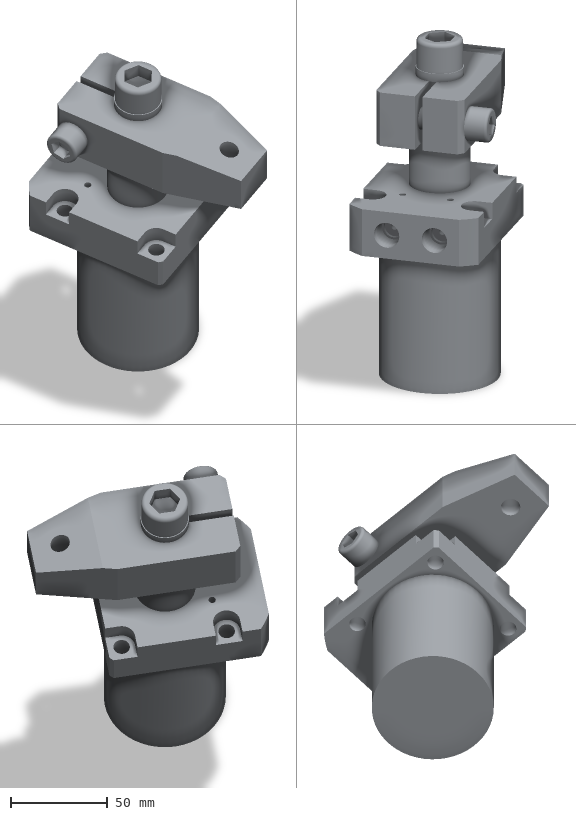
import cadquery as cq
import math

barrel_height = 79.0
flange_thickness = 25.7
rod_exposed_length = 30.5
arm_height = 29.5
washer_thickness = 4.5
total_height = 185.1
flange_top = barrel_height + flange_thickness
arm_bottom = flange_top + rod_exposed_length
arm_top = arm_bottom + arm_height
washer_top = arm_top + washer_thickness
head_height = total_height - washer_top

barrel_radius = 63.1 / 2

flange_back = 50.0
flange_front = 35.0
flange_half_width = 35.0
back_corner_radius = 56.5
front_corner_radius = 48.1

mount_offset = 27.5
mount_hole_radius = 4.3
mount_seat_radius = 7.0
mount_seat_depth = 8.9

port_offset = 13.0
port_height = barrel_height + flange_thickness / 2
port_mouth_radius = 6.8
port_throat_radius = 6.5
port_bottom_radius = 5.4
port_depth = 12.0
port_drill_extra = 1.9
duct_radius = 1.9
duct_distance = 22.5

rod_radius = 32.0 / 2
rod_top_radius = 14.3

arm_back = 36.0
arm_tip = 70.0
arm_half_width = 48.0 / 2
arm_back_chamfer = 3.0
taper_angle = 15.0
side_taper_start = 29.2
top_taper_start = 36.5
slot_width = 4.0
tip_hole_radius = 5.0
tip_hole_distance = 55.0

washer_radius = 25.0 / 2
main_head_radius = 12.0
main_head_fillet = 2.0
main_shank_radius = 8.0
main_shank_length = 38.9
main_hex_flats = 14.0
main_hex_depth = 8.0

pinch_distance = 25.0
pinch_height = arm_bottom + 13.7
pinch_head_radius = 18.0 / 2
pinch_head_height = 12.0
pinch_head_fillet = 1.5
pinch_shank_radius = 6.0
pinch_shank_length = 38.9
pinch_hex_flats = 10.0
pinch_hex_depth = 6.0
pinch_turn = 45.0

hex_turn = 30.0
socket_point_angle = 60.0

rod_taper_half_length = 5.5
rod_top = pinch_height + rod_taper_half_length
taper_start = pinch_height - rod_taper_half_length

overcut = 1.9


def cylinder(radius, bottom, height, x=0.0, y=0.0):
    """Upright cylinder that starts at the given height."""
    return cq.Workplane("XY", origin=(x, y, bottom)).circle(radius).extrude(height)


def cylinder_along_x(radius, start, length, y, z):
    return cq.Workplane("YZ", origin=(start, y, z)).circle(radius).extrude(length)


def cone(bottom_radius, top_radius, height, base, direction):
    return cq.Workplane(cq.Solid.makeCone(bottom_radius, top_radius, height, base, direction))


def arc_crossing(radius, offset):
    """Where a circle of this radius about the axis crosses a line at this offset."""
    return math.sqrt(radius**2 - offset**2)


def flange_blank():
    w = flange_half_width
    back_x = arc_crossing(back_corner_radius, w)
    back_y = arc_crossing(back_corner_radius, flange_back)
    front_x = arc_crossing(front_corner_radius, w)
    front_y = arc_crossing(front_corner_radius, flange_front)
    back_angle = math.atan2(w + back_y, flange_back + back_x)
    front_angle = math.atan2(w + front_y, flange_front + front_x)
    back_mid_x = -back_corner_radius * math.cos(back_angle)
    back_mid_y = back_corner_radius * math.sin(back_angle)
    front_mid_x = front_corner_radius * math.cos(front_angle)
    front_mid_y = front_corner_radius * math.sin(front_angle)
    return (
        cq.Workplane("XY", origin=(0, 0, barrel_height))
        .moveTo(-back_x, -w)
        .lineTo(front_x, -w)
        .threePointArc((front_mid_x, -front_mid_y), (flange_front, -front_y))
        .lineTo(flange_front, front_y)
        .threePointArc((front_mid_x, front_mid_y), (front_x, w))
        .lineTo(-back_x, w)
        .threePointArc((back_mid_x, back_mid_y), (-flange_back, back_y))
        .lineTo(-flange_back, -back_y)
        .threePointArc((back_mid_x, -back_mid_y), (-back_x, -w))
        .close()
        .extrude(flange_thickness)
    )


def mount_cut(x_side, y_side):
    """Bolt hole with a seat that is open to the sides of the flange near it."""
    x = x_side * mount_offset
    y = y_side * mount_offset
    seat_width = 2 * mount_seat_radius
    seat_bottom = flange_top - mount_seat_depth
    reach = flange_half_width - mount_offset + overcut

    def runout(length_x, length_y, shift_x, shift_y):
        return (
            cq.Workplane("XY", origin=(x + shift_x, y + shift_y, seat_bottom))
            .rect(length_x, length_y)
            .extrude(mount_seat_depth + overcut)
        )

    cut = cylinder(mount_hole_radius, barrel_height, flange_thickness, x, y)
    cut = cut.union(cylinder(mount_seat_radius, seat_bottom, mount_seat_depth + overcut, x, y))
    cut = cut.union(runout(seat_width, reach, 0, y_side * reach / 2))
    if x_side > 0:
        cut = cut.union(runout(reach, seat_width, reach / 2, 0))
        cut = cut.union(runout(reach, reach, reach / 2, y_side * reach / 2))
    return cut


def port_cut(y):
    """Tapered oil port from the back face, joined to a small upright duct."""
    mouth = cq.Vector(-flange_back, y, port_height)
    port = cone(port_mouth_radius, port_throat_radius, port_depth, mouth, cq.Vector(1, 0, 0))
    drill = cylinder_along_x(port_bottom_radius, -flange_back, port_depth + port_drill_extra, y, port_height)
    passage = cylinder_along_x(duct_radius, -flange_back, flange_back - duct_distance, y, port_height)
    duct = cylinder(duct_radius, port_height, flange_thickness, -duct_distance, y)
    return port.union(drill).union(passage).union(duct)


def make_housing():
    housing = cylinder(barrel_radius, 0, barrel_height).union(flange_blank())
    for x_side in (-1, 1):
        for y_side in (-1, 1):
            housing = housing.cut(mount_cut(x_side, y_side))
    for y in (-port_offset, port_offset):
        housing = housing.cut(port_cut(y))
    return housing


def rod_blank():
    straight = cylinder(rod_radius, flange_top, taper_start - flange_top)
    taper = cone(rod_radius, rod_top_radius, rod_top - taper_start,
                 cq.Vector(0, 0, taper_start), cq.Vector(0, 0, 1))
    return straight.union(taper)


def main_shank():
    return cylinder(main_shank_radius, washer_top - main_shank_length, main_shank_length)


def make_rod():
    return rod_blank().cut(main_shank())


def pinch_shank():
    return (
        cq.Workplane("XZ", origin=(-pinch_distance, -arm_half_width, pinch_height))
        .circle(pinch_shank_radius)
        .extrude(-pinch_shank_length)
    )


def make_arm():
    """Plan outline crossed with the side outline, split at the back and bored for its neighbours."""
    slope = math.tan(math.radians(taper_angle))
    tip_half_width = arm_half_width - (arm_tip - side_taper_start) * slope
    tip_top = arm_top - (arm_tip - top_taper_start) * slope
    upper_half = [
        (arm_tip, tip_half_width),
        (side_taper_start, arm_half_width),
        (-arm_back + arm_back_chamfer, arm_half_width),
        (-arm_back, arm_half_width - arm_back_chamfer),
    ]
    lower_half = [(x, -y) for x, y in reversed(upper_half)]
    plan = cq.Workplane("XY", origin=(0, 0, arm_bottom)).polyline(upper_half + lower_half).close()
    side = (
        cq.Workplane("XZ", origin=(0, arm_half_width, 0))
        .polyline([(-arm_back, arm_bottom), (arm_tip, arm_bottom), (arm_tip, tip_top),
                   (top_taper_start, arm_top), (-arm_back, arm_top)])
        .close()
        .extrude(2 * arm_half_width)
    )
    slot = (
        cq.Workplane("XY", origin=(-arm_back / 2, 0, arm_bottom))
        .rect(arm_back, slot_width)
        .extrude(arm_height)
    )
    tip_hole = cylinder(tip_hole_radius, arm_bottom, arm_height, tip_hole_distance)
    arm = plan.extrude(arm_height).intersect(side)
    return arm.cut(slot).cut(tip_hole).cut(rod_blank()).cut(main_shank()).cut(pinch_shank())


def make_washer():
    return cylinder(washer_radius, arm_top, washer_thickness).cut(main_shank())


def socket_head(radius, height, fillet, hex_flats, hex_depth):
    """Screw head standing on Z = 0 with a hexagon socket that ends in a drill point."""
    point_radius = hex_flats / 2
    point_depth = point_radius / math.tan(math.radians(socket_point_angle))
    socket_bottom = height - hex_depth
    head = cylinder(radius, 0, height).faces(">Z").edges().fillet(fillet)
    hexagon = (
        cq.Workplane("XY", origin=(0, 0, socket_bottom))
        .polygon(6, hex_flats, circumscribed=True)
        .extrude(hex_depth)
        .rotate((0, 0, 0), (0, 0, 1), hex_turn)
    )
    point = cone(point_radius, 0, point_depth, cq.Vector(0, 0, socket_bottom), cq.Vector(0, 0, -1))
    return head.cut(hexagon).cut(point)


def make_main_screw():
    head = socket_head(main_head_radius, head_height, main_head_fillet, main_hex_flats, main_hex_depth)
    return head.translate((0, 0, washer_top)).union(main_shank())


def make_pinch_screw():
    head = socket_head(
        pinch_head_radius, pinch_head_height, pinch_head_fillet, pinch_hex_flats, pinch_hex_depth
    )
    head = (
        head.rotate((0, 0, 0), (0, 0, 1), pinch_turn)
        .rotate((0, 0, 0), (1, 0, 0), 90)
        .translate((-pinch_distance, -arm_half_width, pinch_height))
    )
    return head.union(pinch_shank())


housing = make_housing()
rod = make_rod()
arm = make_arm()
washer = make_washer()
main_screw = make_main_screw()
pinch_screw = make_pinch_screw()

result = cq.Compound.makeCompound([
    housing.val(),
    rod.val(),
    arm.val(),
    washer.val(),
    main_screw.val(),
    pinch_screw.val(),
])